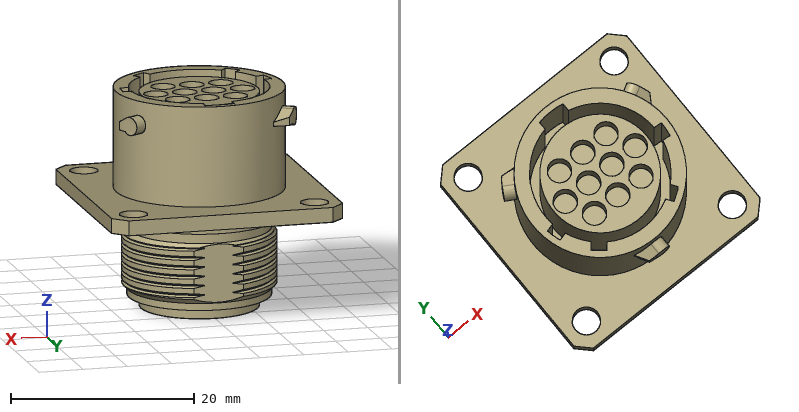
import cadquery as cq
import math


FLANGE_SIDE = 26.18
FLANGE_THICKNESS = 1.68
FLANGE_CORNER_CHAMFER = 1.52
MOUNT_HOLE_RADIUS = 1.55
MOUNT_HOLE_SPACING = 20.53

SHELL_TOP = 12.93
INSERT_BOTTOM = -11.62

SHELL_RADIUS = 9.42
CAVITY_RADIUS = 7.72
CAVITY_FLOOR = FLANGE_THICKNESS
KEYWAY_RADIUS = 8.67
MAIN_KEY_WIDTH = 3.27
MINOR_KEY_WIDTH = 1.7
MAIN_KEY_ANGLE = 90
MINOR_KEY_OFFSETS = (105, 140, 215, 265)

INSERT_RADIUS = 6.6
INSERT_RECESS = 0.52
INSERT_TOP = SHELL_TOP - INSERT_RECESS
CONTACT_RADIUS = 1.34
CONTACT_DEPTH = 2.62
CONTACT_PITCH = 3.27
CONTACT_ROW_PITCH = 3.04
CONTACT_ROWS = (3, 4, 3)

COLLAR_RADIUS = 8.9
COLLAR_BOTTOM = -1.52
COLLAR_FILLET = 0.79
NECK_RADIUS = 7.93
BARREL_BOTTOM = -10.35
THREAD_RADIUS = 8.5
THREAD_TOP = -2.8
THREAD_BOTTOM = -9.55
THREAD_CHAMFER = THREAD_RADIUS - NECK_RADIUS
THREAD_FLAT_WIDTH = 16.07

THREAD_PITCH = 1.05
GROOVE_DEPTH = 0.31
GROOVE_MOUTH = 0.45
GROOVE_ROOT = 0.05
GROOVE_OVERLAP = 0.13
GROOVE_START = -10.85
GROOVE_TURNS = 8

PIN_ANGLES = (30, 150, 270)
PIN_BUILD_ANGLE = 270
PIN_RADIUS = 1.02
PIN_HEIGHT = 10.31
PIN_REACH = 10.79
PIN_ROOT = 8.9
TAIL_SLOPE = 28.5
TAIL_DROP = 0.7
TAIL_LENGTH_AT_SHELL = 2.57
TAIL_LENGTH_AT_END = 1.73


def cylinder(radius, bottom, top):
    return cq.Workplane("XY").workplane(offset=bottom).circle(radius).extrude(top - bottom)


def make_flange():
    flange = (
        cq.Workplane("XY")
        .rect(FLANGE_SIDE, FLANGE_SIDE)
        .extrude(FLANGE_THICKNESS)
        .edges("|Z")
        .chamfer(FLANGE_CORNER_CHAMFER)
    )
    holes = (
        cq.Workplane("XY")
        .rect(MOUNT_HOLE_SPACING, MOUNT_HOLE_SPACING, forConstruction=True)
        .vertices()
        .circle(MOUNT_HOLE_RADIUS)
        .extrude(FLANGE_THICKNESS)
    )
    return flange.cut(holes)


def make_collar():
    """Collar under the flange, blended into it with a concave fillet."""
    fillet_middle = COLLAR_FILLET * (1 - math.sqrt(0.5))
    return (
        cq.Workplane("XZ")
        .moveTo(0, 0)
        .lineTo(COLLAR_RADIUS + COLLAR_FILLET, 0)
        .threePointArc(
            (COLLAR_RADIUS + fillet_middle, -fillet_middle),
            (COLLAR_RADIUS, -COLLAR_FILLET),
        )
        .lineTo(COLLAR_RADIUS, COLLAR_BOTTOM)
        .lineTo(0, COLLAR_BOTTOM)
        .close()
        .revolve(360, (0, 0, 0), (0, 1, 0))
    )


def make_barrel_envelope():
    """Neck and chamfered thread land without grooves, revolved about Z."""
    return (
        cq.Workplane("XZ")
        .moveTo(0, COLLAR_BOTTOM)
        .lineTo(NECK_RADIUS, COLLAR_BOTTOM)
        .lineTo(NECK_RADIUS, THREAD_TOP)
        .lineTo(THREAD_RADIUS, THREAD_TOP - THREAD_CHAMFER)
        .lineTo(THREAD_RADIUS, THREAD_BOTTOM + THREAD_CHAMFER)
        .lineTo(NECK_RADIUS, THREAD_BOTTOM)
        .lineTo(NECK_RADIUS, BARREL_BOTTOM)
        .lineTo(0, BARREL_BOTTOM)
        .close()
        .revolve(360, (0, 0, 0), (0, 1, 0))
    )


def make_thread_groove():
    """Trapezoidal helical cutter that runs out past both ends of the thread."""
    root_radius = THREAD_RADIUS - GROOVE_DEPTH
    outer_radius = THREAD_RADIUS + GROOVE_OVERLAP
    flank_growth = (GROOVE_MOUTH - GROOVE_ROOT) / 2 / GROOVE_DEPTH
    half_root = GROOVE_ROOT / 2
    half_outer = GROOVE_MOUTH / 2 + flank_growth * GROOVE_OVERLAP
    path = cq.Wire.makeHelix(THREAD_PITCH, THREAD_PITCH * GROOVE_TURNS, root_radius)
    groove = (
        cq.Workplane("XZ")
        .polyline([
            (root_radius, -half_root),
            (outer_radius, -half_outer),
            (outer_radius, half_outer),
            (root_radius, half_root),
        ])
        .close()
        .sweep(cq.Workplane(obj=path), isFrenet=True)
    )
    return groove.translate((0, 0, GROOVE_START))


def make_thread_flats():
    """Two blocks that trim the thread to its width across the flats."""
    thickness = 2 * (THREAD_RADIUS - THREAD_FLAT_WIDTH / 2)
    height = THREAD_TOP - THREAD_BOTTOM
    offset = (THREAD_FLAT_WIDTH + thickness) / 2
    return (
        cq.Workplane("XY")
        .workplane(offset=THREAD_BOTTOM)
        .pushPoints([(0, -offset), (0, offset)])
        .rect(2 * THREAD_RADIUS, thickness)
        .extrude(height)
    )


def make_barrel():
    """Threaded barrel, cut from a plain bar longer than the groove and then trimmed to shape."""
    bar_bottom = GROOVE_START - THREAD_PITCH
    bar_top = GROOVE_START + (GROOVE_TURNS + 1) * THREAD_PITCH
    threaded_bar = cylinder(THREAD_RADIUS, bar_bottom, bar_top).cut(make_thread_groove())
    return threaded_bar.cut(make_thread_flats()).intersect(make_barrel_envelope())


def make_keyway(angle, width):
    """Radial slot from the axis to the keyway radius, at the given angle."""
    slot = (
        cq.Workplane("XY")
        .workplane(offset=CAVITY_FLOOR)
        .center(KEYWAY_RADIUS, 0)
        .rect(2 * KEYWAY_RADIUS, width)
        .extrude(SHELL_TOP - CAVITY_FLOOR)
        .intersect(cylinder(KEYWAY_RADIUS, CAVITY_FLOOR, SHELL_TOP))
    )
    return slot.rotate((0, 0, 0), (0, 0, 1), angle)


def make_cavity():
    cavity = cylinder(CAVITY_RADIUS, CAVITY_FLOOR, SHELL_TOP)
    cavity = cavity.union(make_keyway(MAIN_KEY_ANGLE, MAIN_KEY_WIDTH))
    for offset in MINOR_KEY_OFFSETS:
        cavity = cavity.union(make_keyway(MAIN_KEY_ANGLE + offset, MINOR_KEY_WIDTH))
    return cavity


def make_insert():
    """Contact insert running the full length, with blind contact holes in staggered rows."""
    centres = []
    for row, count in enumerate(CONTACT_ROWS):
        y = (row - (len(CONTACT_ROWS) - 1) / 2) * CONTACT_ROW_PITCH
        for column in range(count):
            centres.append(((column - (count - 1) / 2) * CONTACT_PITCH, y))
    holes = (
        cq.Workplane("XY")
        .workplane(offset=INSERT_TOP - CONTACT_DEPTH)
        .pushPoints(centres)
        .circle(CONTACT_RADIUS)
        .extrude(CONTACT_DEPTH)
    )
    return cylinder(INSERT_RADIUS, INSERT_BOTTOM, INSERT_TOP).cut(holes)


def make_pin(angle):
    """Round bayonet pin with a tapering tail, built facing -Y and turned to its angle."""
    slope = math.radians(TAIL_SLOPE)
    tangent_x = -PIN_RADIUS * math.sin(slope)
    tangent_z = PIN_RADIUS * math.cos(slope)
    tail_x = -TAIL_LENGTH_AT_SHELL
    tail_z = tangent_z - (tangent_x - tail_x) * math.tan(slope)

    side = cq.Workplane("XZ", origin=(0, -PIN_ROOT, PIN_HEIGHT))
    length = PIN_REACH - PIN_ROOT
    head = side.circle(PIN_RADIUS).extrude(length)
    tail = (
        side.polyline([
            (0, 0),
            (tangent_x, tangent_z),
            (tail_x, tail_z),
            (tail_x, -TAIL_DROP),
            (0, -TAIL_DROP),
        ])
        .close()
        .extrude(length)
    )
    plan = (
        cq.Workplane("XY")
        .workplane(offset=PIN_HEIGHT - PIN_RADIUS)
        .polyline([
            (PIN_RADIUS, -PIN_ROOT),
            (-TAIL_LENGTH_AT_SHELL, -PIN_ROOT),
            (-TAIL_LENGTH_AT_SHELL, -math.sqrt(SHELL_RADIUS**2 - TAIL_LENGTH_AT_SHELL**2)),
            (-TAIL_LENGTH_AT_END, -math.sqrt(PIN_REACH**2 - TAIL_LENGTH_AT_END**2)),
            (-TAIL_LENGTH_AT_END, -PIN_REACH),
            (PIN_RADIUS, -PIN_REACH),
        ])
        .close()
        .extrude(2 * PIN_RADIUS)
    )
    reach = cylinder(PIN_REACH, PIN_HEIGHT - PIN_RADIUS, PIN_HEIGHT + PIN_RADIUS)
    pin = head.union(tail).intersect(plan).intersect(reach)
    return pin.rotate((0, 0, 0), (0, 0, 1), angle - PIN_BUILD_ANGLE)


shell = cylinder(SHELL_RADIUS, 0, SHELL_TOP)
for pin_angle in PIN_ANGLES:
    shell = shell.union(make_pin(pin_angle))

result = (
    make_flange()
    .union(shell)
    .cut(make_cavity())
    .union(make_collar())
    .union(make_barrel())
    .union(make_insert())
)